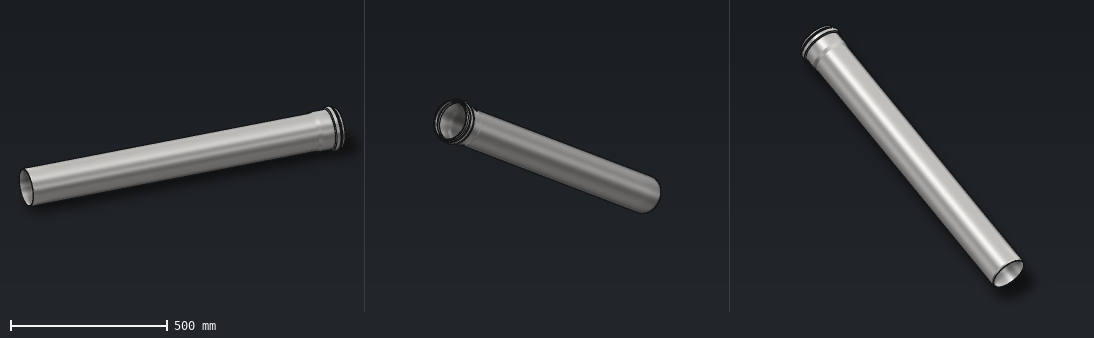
import cadquery as cq

total_length = 1073.7

pipe_diameter = 125.0
pipe_bore_diameter = 117.2
spigot_chamfer_length = 6.0
spigot_chamfer_depth = 1.5

socket_bore_diameter = 125.5
socket_wall = 3.0
socket_depth = 76.0
socket_taper_length = 13.0

bead_diameter = 145.8
bead_start = 14.25
bead_end = 33.75
bead_edge_radius = 3.0

lip_length = 9.0
lip_flare = 2.5

pipe_radius = pipe_diameter / 2
pipe_bore_radius = pipe_bore_diameter / 2
spigot_tip_radius = pipe_radius - spigot_chamfer_depth
socket_bore_radius = socket_bore_diameter / 2
socket_radius = socket_bore_radius + socket_wall
flare_radius = socket_radius + lip_flare
bead_radius = bead_diameter / 2
bead_face_radius = bead_radius - bead_edge_radius
groove_radius = bead_radius - socket_wall

spigot_y = -total_length / 2
chamfer_y = spigot_y + spigot_chamfer_length
mouth_y = total_length / 2
lip_y = mouth_y - lip_length
bead_start_y = mouth_y - bead_start
bead_end_y = mouth_y - bead_end
groove_start_y = bead_start_y - socket_wall
groove_end_y = bead_end_y + socket_wall
socket_floor_y = mouth_y - socket_depth
taper_end_y = socket_floor_y - socket_taper_length


def draw_outside(section):
    """Outer wall from the spigot tip to the mouth."""
    return (
        section.lineTo(pipe_radius, chamfer_y)
        .lineTo(pipe_radius, taper_end_y)
        .lineTo(socket_radius, socket_floor_y)
        .lineTo(socket_radius, bead_end_y)
        .lineTo(bead_face_radius, bead_end_y)
        .tangentArcPoint((bead_radius, bead_end_y + bead_edge_radius), relative=False)
        .lineTo(bead_radius, bead_start_y - bead_edge_radius)
        .tangentArcPoint((bead_face_radius, bead_start_y), relative=False)
        .lineTo(flare_radius, bead_start_y)
        .lineTo(socket_radius, lip_y)
        .lineTo(socket_radius, mouth_y)
    )


def draw_inside(section):
    """Inner wall from the mouth back to the spigot end."""
    return (
        section.lineTo(socket_bore_radius, mouth_y)
        .lineTo(socket_bore_radius, groove_start_y)
        .lineTo(groove_radius, groove_start_y)
        .lineTo(groove_radius, groove_end_y)
        .lineTo(socket_bore_radius, groove_end_y)
        .lineTo(socket_bore_radius, socket_floor_y)
        .lineTo(pipe_bore_radius, taper_end_y)
        .lineTo(pipe_bore_radius, spigot_y)
    )


def make_pipe():
    """Revolve the half section, drawn with X as radius and Y along the axis."""
    section = cq.Workplane("XY").moveTo(spigot_tip_radius, spigot_y)
    section = draw_outside(section)
    section = draw_inside(section).close()
    return section.revolve(360, (0, 0, 0), (0, 1, 0))


result = make_pipe()